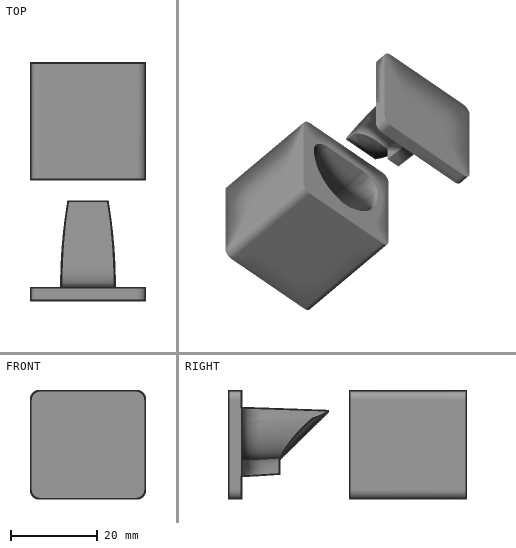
import cadquery as cq
import math

width = 26.5
height = 25.0
corner_radius = 2.0
plate_thickness = 3.0
core_length = 20.0
open_gap = 5.0
mould_length = 27.0
core_base_y = plate_thickness
mould_face_y = core_base_y + core_length + open_gap

roof_slope = math.tan(math.radians(2.0))

core_roof_z = 8.6
core_half_width = 6.3
core_tip_half_width = 4.6
core_roof_inset = 0.25
core_side_z = 5.5
core_side_rise = 0.5
core_belly_z = -3.85
belly_rise = 0.05
root_length = 9.0

nose_tip_thickness = 0.3
nose_start_z = -3.2
nose_curvature = 0.075
nose_flattening = 16.4
envelope_half_width = 8.0
envelope_top_z = height / 2

fin_width = 3.4
fin_length = 8.8
fin_top_z = -2.5
fin_base_z = -7.35
fin_end_z = -6.8
fin_clearance = 0.4

cavity_roof_z = 8.3
cavity_half_width = 10.0
cavity_roof_half_width = 5.8
cavity_side_z = 3.8
cavity_floor_z = -7.6
cavity_depth = 22.0
cavity_taper_length = 26.0
cavity_section_count = 5


def section_plane(y):
    return cq.Workplane("XZ", origin=(0, y, 0))


def rounded_slab(start_y, length):
    """Rectangular slab with its four long edges rounded."""
    slab = cq.Workplane("XY").box(width, length, height, centered=(True, False, True))
    return slab.edges("|Y").fillet(corner_radius).translate((0, start_y, 0))


def loft(section, distances, ruled=False):
    """Solid through the section outlines at the given distances."""
    wires = [section(distance).val() for distance in distances]
    return cq.Workplane(obj=cq.Solid.makeLoft(wires, ruled))


def core_section(distance):
    """Core outline at a distance from the plate."""
    progress = distance / core_length
    half_width = core_half_width - (core_half_width - core_tip_half_width) * progress**2
    roof_half_width = half_width - core_roof_inset * (1 - progress)
    top_z = core_roof_z - roof_slope * distance
    side_z = core_side_z + core_side_rise * min(1.0, distance / root_length)
    belly_depth = side_z - (core_belly_z + belly_rise * distance)
    return (
        section_plane(core_base_y + distance)
        .moveTo(roof_half_width, top_z)
        .lineTo(-roof_half_width, top_z)
        .lineTo(-half_width, side_z)
        .ellipseArc(half_width, belly_depth, 180, 360, startAtCurrent=True)
        .close()
    )


def envelope_section(distance):
    """Region above the nose underside at a distance from the plate."""
    tip_z = core_roof_z - roof_slope * core_length - nose_tip_thickness
    slope = (tip_z - nose_start_z) / (core_length - root_length)
    low_z = tip_z - slope * (core_length - distance)
    flattening = min(1.0, (core_length - distance) / (core_length - nose_flattening))
    edge_rise = nose_curvature * flattening * envelope_half_width**2
    left = (-envelope_half_width, low_z + edge_rise)
    right = (envelope_half_width, low_z + edge_rise)
    control = (0, low_z - edge_rise)
    return (
        section_plane(core_base_y + distance)
        .moveTo(envelope_half_width, envelope_top_z)
        .lineTo(-envelope_half_width, envelope_top_z)
        .lineTo(*left)
        .bezier([left, control, right])
        .close()
    )


def fin(start_y, clearance=0.0):
    """Upright fin below the core, starting at the given Y."""
    profile = [
        (start_y, fin_top_z),
        (start_y, fin_base_z - clearance),
        (start_y + fin_length, fin_end_z - clearance),
        (start_y + fin_length, fin_top_z),
    ]
    return cq.Workplane("YZ").polyline(profile).close().extrude(fin_width / 2, both=True)


def make_core():
    plate = rounded_slab(0, plate_thickness)
    root = loft(core_section, [0, root_length / 2, root_length])
    nose = loft(core_section, [root_length, (root_length + core_length) / 2, core_length])
    envelope = loft(envelope_section, [0, nose_flattening, core_length], ruled=True)
    finger = root.union(nose).intersect(envelope)
    return plate.union(finger).union(fin(core_base_y))


def cavity_section(depth):
    """Cavity outline at a depth below the mould face."""
    scale = math.sqrt(1 - (depth / cavity_taper_length) ** 2)
    half_width = cavity_half_width * scale
    roof_half_width = cavity_roof_half_width * scale
    top_z = cavity_roof_z - roof_slope * depth
    floor_depth = (cavity_side_z - cavity_floor_z) * scale
    shoulder_x = roof_half_width + (half_width - roof_half_width) * math.sin(math.pi / 4)
    shoulder_z = cavity_side_z + (top_z - cavity_side_z) * math.sin(math.pi / 4)
    return (
        section_plane(mould_face_y + depth)
        .moveTo(roof_half_width, top_z)
        .lineTo(-roof_half_width, top_z)
        .threePointArc((-shoulder_x, shoulder_z), (-half_width, cavity_side_z))
        .ellipseArc(half_width, floor_depth, 180, 360, startAtCurrent=True)
        .threePointArc((shoulder_x, shoulder_z), (roof_half_width, top_z))
        .close()
    )


def make_mould():
    block = rounded_slab(mould_face_y, mould_length)
    depths = [cavity_depth * i / (cavity_section_count - 1) for i in range(cavity_section_count)]
    cavity = loft(cavity_section, depths)
    return block.cut(cavity).cut(fin(mould_face_y, fin_clearance))


core = make_core()
mould = make_mould()
result = cq.Compound.makeCompound([core.val(), mould.val()])